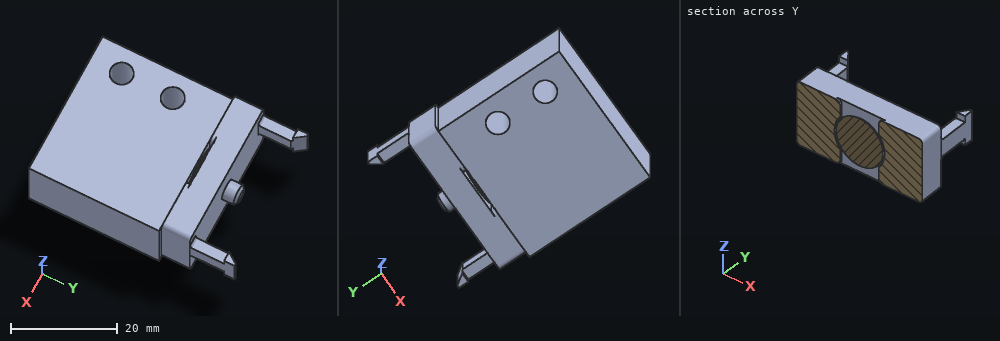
import cadquery as cq

OVERALL_LENGTH = 42.9

BLOCK_WIDTH = 30.05
BLOCK_LENGTH = 27.5
HEIGHT = 15.0
MOUNT_HOLE_COUNT = 2
MOUNT_HOLE_DIAMETER = 4.5
MOUNT_HOLE_X = 5.0
MOUNT_HOLE_FIRST_Y = 6.65
MOUNT_HOLE_SPACING = 10.75

HEAD_SHIFT = 1.0
HEAD_LENGTH = 6.0
HEAD_EDGE_RADIUS = 1.0
HEAD_FRONT_Y = BLOCK_LENGTH
HEAD_BACK_Y = HEAD_FRONT_Y + HEAD_LENGTH
HEAD_CENTER_X = BLOCK_WIDTH / 2 - HEAD_SHIFT

COLLAR_RADIUS = 5.9
COLLAR_SHOULDER_RADIUS = 5.4
COLLAR_TIP_RADIUS = 5.2
COLLAR_RIM_LENGTH = 0.195
COLLAR_SHOULDER_LENGTH = 0.47
RECESS_DEPTH = 0.8
SLOT_WIDTH = 9.1
SLOT_MOUTH_RADIUS = 1.15

PIN_DIAMETER = 4.1
PIN_LENGTH = 3.0
PIN_CHAMFER_LENGTH = 0.6
PIN_CHAMFER_INSET = 0.77

CLIP_LENGTH = OVERALL_LENGTH - HEAD_BACK_Y
CLIP_THICKNESS = 2.27
CLIP_STEM_HEIGHT = 4.0
CLIP_BARB_HEIGHT = 6.85
CLIP_BARB_LENGTH = 2.2
CLIP_TIP_THICKNESS = 0.5
CLIP_TAPER_LENGTH = 2.5
CLIP_CENTER_Z = 2.0
CLIP_ROOT_RADIUS = 0.75


def y_cylinder(radius, start_y, length):
    """Cylinder along +Y on the head axis."""
    axis_plane = cq.Workplane("XZ", origin=(HEAD_CENTER_X, start_y, 0))
    return axis_plane.circle(radius).extrude(-length)


def make_block():
    """Plain block with a row of holes through its height."""
    block = cq.Workplane("XY").box(BLOCK_WIDTH, BLOCK_LENGTH, HEIGHT, centered=(False, False, True))
    hole_places = [
        (MOUNT_HOLE_X, MOUNT_HOLE_FIRST_Y + i * MOUNT_HOLE_SPACING)
        for i in range(MOUNT_HOLE_COUNT)
    ]
    holes = cq.Workplane("XY").pushPoints(hole_places).circle(MOUNT_HOLE_DIAMETER / 2)
    return block.cut(holes.extrude(HEIGHT / 2, both=True))


def make_slot():
    """Slot through the head height whose four mouth edges flare out with a round."""
    half_width = SLOT_WIDTH / 2
    half_mouth = half_width + SLOT_MOUTH_RADIUS
    top = HEIGHT / 2
    shoulder = top - SLOT_MOUTH_RADIUS
    outline = (
        cq.Workplane("XZ", origin=(HEAD_CENTER_X, HEAD_FRONT_Y, 0))
        .moveTo(-half_mouth, top)
        .lineTo(half_mouth, top)
        .radiusArc((half_width, shoulder), -SLOT_MOUTH_RADIUS)
        .lineTo(half_width, -shoulder)
        .radiusArc((half_mouth, -top), -SLOT_MOUTH_RADIUS)
        .lineTo(-half_mouth, -top)
        .radiusArc((-half_width, -shoulder), -SLOT_MOUTH_RADIUS)
        .lineTo(-half_width, shoulder)
        .radiusArc((-half_mouth, top), -SLOT_MOUTH_RADIUS)
        .close()
    )
    return outline.extrude(-RECESS_DEPTH)


def make_head():
    """Head with rounded long edges, a slot and a round recess on the block side."""
    head = (
        cq.Workplane("XY", origin=(HEAD_CENTER_X, HEAD_FRONT_Y, 0))
        .box(BLOCK_WIDTH, HEAD_LENGTH, HEIGHT, centered=(True, False, True))
        .edges("|Y")
        .fillet(HEAD_EDGE_RADIUS)
    )
    recess = y_cylinder(COLLAR_RADIUS, HEAD_FRONT_Y, RECESS_DEPTH)
    return head.cut(make_slot()).cut(recess)


def make_collar():
    """Turned collar on the block face: a thin rim, a flat cone, then a steeper cone."""
    profile = (
        cq.Workplane("XY", origin=(HEAD_CENTER_X, HEAD_FRONT_Y, 0))
        .lineTo(COLLAR_RADIUS, 0)
        .lineTo(COLLAR_RADIUS, COLLAR_RIM_LENGTH)
        .lineTo(COLLAR_SHOULDER_RADIUS, COLLAR_SHOULDER_LENGTH)
        .lineTo(COLLAR_TIP_RADIUS, RECESS_DEPTH)
        .lineTo(0, RECESS_DEPTH)
        .close()
    )
    return profile.revolve(360, (0, 0), (0, 1))


def make_pin():
    """Round pin on the head's far face, with a beveled tip."""
    pin = y_cylinder(PIN_DIAMETER / 2, HEAD_BACK_Y, PIN_LENGTH)
    return pin.faces(">Y").edges().chamfer(PIN_CHAMFER_LENGTH, PIN_CHAMFER_INSET)


def make_clip(side):
    """T-shaped clip flush with one side of the head (side is -1 or +1), its tip tapered inward."""
    half_stem = CLIP_STEM_HEIGHT / 2
    half_barb = CLIP_BARB_HEIGHT / 2
    half_root = half_stem + CLIP_ROOT_RADIUS
    barb_start = CLIP_LENGTH - CLIP_BARB_LENGTH
    outer_x = HEAD_CENTER_X + side * BLOCK_WIDTH / 2
    profile = (
        cq.Workplane("YZ", origin=(outer_x, HEAD_BACK_Y, CLIP_CENTER_Z))
        .moveTo(0, -half_root)
        .radiusArc((CLIP_ROOT_RADIUS, -half_stem), CLIP_ROOT_RADIUS)
        .lineTo(barb_start, -half_stem)
        .lineTo(barb_start, -half_barb)
        .lineTo(CLIP_LENGTH, -half_barb)
        .lineTo(CLIP_LENGTH, half_barb)
        .lineTo(barb_start, half_barb)
        .lineTo(barb_start, half_stem)
        .lineTo(CLIP_ROOT_RADIUS, half_stem)
        .radiusArc((0, half_root), CLIP_ROOT_RADIUS)
        .close()
        .extrude(-side * CLIP_THICKNESS)
    )
    taper = (
        cq.Workplane("XY", origin=(outer_x, HEAD_BACK_Y, CLIP_CENTER_Z))
        .moveTo(-side * CLIP_TIP_THICKNESS, CLIP_LENGTH)
        .lineTo(-side * CLIP_THICKNESS, CLIP_LENGTH)
        .lineTo(-side * CLIP_THICKNESS, CLIP_LENGTH - CLIP_TAPER_LENGTH)
        .close()
        .extrude(CLIP_BARB_HEIGHT / 2, both=True)
    )
    return profile.cut(taper)


block = make_block()
head = make_head()
collar = make_collar()
pin = make_pin()
clips = [make_clip(side) for side in (-1, 1)]

result = cq.Compound.makeCompound(
    [block.val(), head.val(), collar.val(), pin.val(), *[clip.val() for clip in clips]]
)